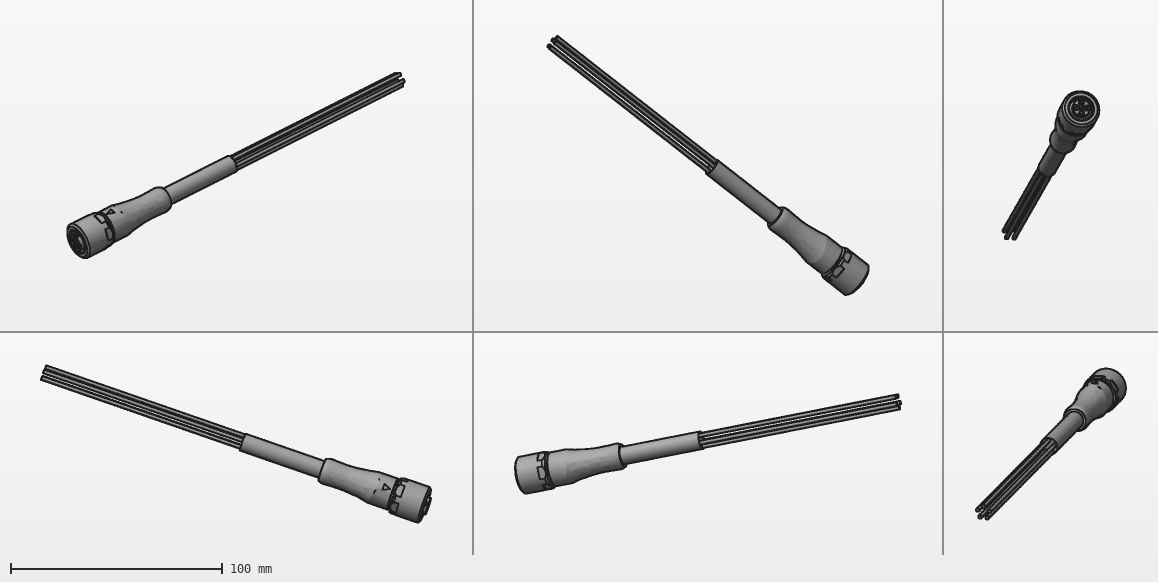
import cadquery as cq
import math


total_length = 193.0
wire_count = 5
wire_radius = 0.9
wire_circle_radius = 3.0
wire_length = 100.0
cable_radius = 4.25
cable_end_y = total_length - wire_length

head_width = 15.5
head_height = 16.7
head_front_y = 17.8
flare_front_radius = 8.8
flare_front_y = 23.4
flare_front_direction = (-0.25, 1)
flare_middle_radius = 7.75
flare_middle_y = 27.6
flare_rear_radius = 6.55
flare_rear_y = 35.0
sleeve_radius = 6.05
sleeve_y = 40.0
rim_radius = 6.2
rim_y = 49.1
rim_direction = (0.03, 1)
grip_end_radius = 5.5
grip_end_y = 53.1
grip_bulge_radius = 6.1
grip_bulge_y = 51.7

arrow_tip_y = 19.0
arrow_length = 3.4
arrow_width = 3.0
arrow_depth = 0.25

neck_radius = 5.6
neck_front_y = 4.0

insert_radius = 4.2
shoulder_start_y = 2.6
keyway_width = 1.2
keyway_depth = 0.6
socket_radius = 0.35
socket_mouth_radius = 1.3
socket_mouth_depth = 0.8
socket_circle_radius = 2.75
socket_depth = 3.5
outer_socket_count = 4

nut_radius = 8.95
nut_front_y = 1.3
nut_rear_y = 16.6
nut_front_radius = 7.85
nut_front_chamfer_length = 0.9
nut_rear_radius = 8.4
nut_rear_chamfer_length = 1.2
bore_radius = neck_radius
countersink_radius = 6.2
countersink_depth = 0.6
flat_count = 6
flat_distance = 8.45
flat_front_y = 13.0
first_flat_angle = -24.4


def revolve_about_y(outline):
    return outline.close().revolve(360, (0, 0, 0), (0, 1, 0))


def cylinder_along_y(radius, start_y, end_y, x=0.0, z=0.0):
    return (
        cq.Workplane("XZ", origin=(x, start_y, z))
        .circle(radius)
        .extrude(start_y - end_y)
    )


def make_grip():
    taper = revolve_about_y(
        cq.Workplane("XY")
        .moveTo(0, head_front_y)
        .lineTo(flare_front_radius, head_front_y)
        .lineTo(flare_front_radius, flare_front_y)
        .spline(
            [
                (flare_middle_radius, flare_middle_y),
                (flare_rear_radius, flare_rear_y),
                (sleeve_radius, sleeve_y),
                (rim_radius, rim_y),
            ],
            tangents=[flare_front_direction, rim_direction],
            includeCurrent=True,
        )
        .threePointArc((grip_bulge_radius, grip_bulge_y), (grip_end_radius, grip_end_y))
        .lineTo(0, grip_end_y)
    )
    head = (
        cq.Workplane("XZ", origin=(0, head_front_y, 0))
        .ellipse(head_width / 2, head_height / 2)
        .extrude(head_front_y - grip_end_y)
    )
    return taper.intersect(head)


def make_arrow():
    return (
        cq.Workplane("XY", origin=(0, arrow_tip_y, head_height / 2 - arrow_depth))
        .polyline([(0, 0), (arrow_width / 2, arrow_length), (-arrow_width / 2, arrow_length)])
        .close()
        .extrude(2 * arrow_depth)
    )


def make_socket(x, z):
    mouth = cylinder_along_y(socket_mouth_radius, 0, socket_mouth_depth, x, z)
    return mouth.union(cylinder_along_y(socket_radius, 0, socket_depth, x, z))


def make_insert():
    insert = revolve_about_y(
        cq.Workplane("XY")
        .lineTo(insert_radius, 0)
        .lineTo(insert_radius, shoulder_start_y)
        .lineTo(neck_radius, neck_front_y)
        .lineTo(0, neck_front_y)
    )
    keyway = cq.Workplane("XY").box(
        keyway_width, shoulder_start_y, 2 * keyway_depth, centered=(True, False, True)
    ).translate((0, 0, insert_radius))
    insert = insert.cut(keyway).cut(make_socket(0, 0))
    for i in range(outer_socket_count):
        angle = math.radians(90 + i * 360 / outer_socket_count)
        insert = insert.cut(
            make_socket(socket_circle_radius * math.cos(angle), socket_circle_radius * math.sin(angle))
        )
    return insert


def make_cable():
    cable = cylinder_along_y(cable_radius, grip_end_y, cable_end_y)
    for i in range(wire_count):
        angle = math.radians(90 + i * 360 / wire_count)
        wire = cylinder_along_y(
            wire_radius,
            cable_end_y,
            total_length,
            x=wire_circle_radius * math.cos(angle),
            z=wire_circle_radius * math.sin(angle),
        )
        cable = cable.union(wire)
    return cable


def make_plug():
    neck = cylinder_along_y(neck_radius, neck_front_y, head_front_y)
    grip = make_grip().cut(make_arrow())
    return grip.union(neck).union(make_insert()).union(make_cable())


def make_nut():
    nut = revolve_about_y(
        cq.Workplane("XY")
        .moveTo(countersink_radius, nut_front_y)
        .lineTo(nut_front_radius, nut_front_y)
        .lineTo(nut_radius, nut_front_y + nut_front_chamfer_length)
        .lineTo(nut_radius, nut_rear_y - nut_rear_chamfer_length)
        .lineTo(nut_rear_radius, nut_rear_y)
        .lineTo(bore_radius, nut_rear_y)
        .lineTo(bore_radius, nut_front_y + countersink_depth)
    )
    flat_cutter = cq.Workplane("XY").box(
        nut_radius, nut_rear_y - flat_front_y, 2 * nut_radius, centered=(False, False, True)
    ).translate((flat_distance, flat_front_y, 0))
    for i in range(flat_count):
        angle = first_flat_angle + i * 360 / flat_count
        nut = nut.cut(flat_cutter.rotate((0, 0, 0), (0, 1, 0), angle))
    return nut


plug = make_plug()
nut = make_nut()
result = cq.Compound.makeCompound([plug.val(), nut.val()])